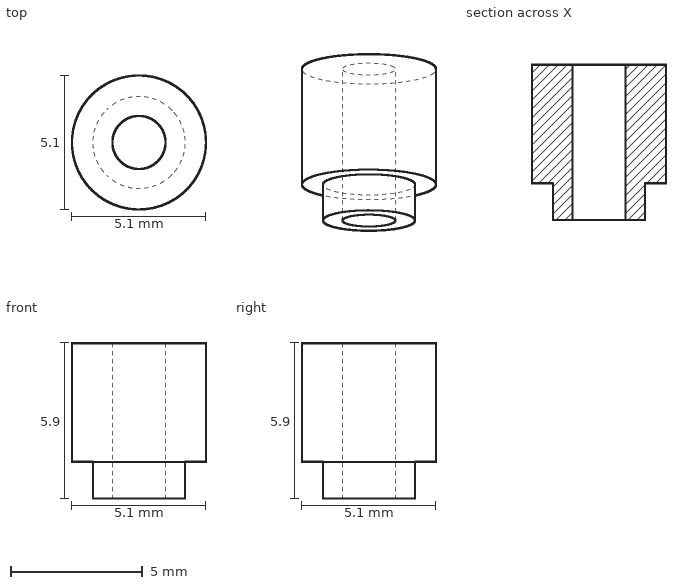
import cadquery as cq

body_diameter = 5.1
spigot_diameter = 3.5
bore_diameter = 2.01
total_height = 5.9
spigot_height = 1.4
body_height = total_height - spigot_height

spigot = cq.Workplane("XY").circle(spigot_diameter / 2).extrude(spigot_height)

body = (
    cq.Workplane("XY")
    .workplane(offset=spigot_height)
    .circle(body_diameter / 2)
    .extrude(body_height)
)

bore = cq.Workplane("XY").circle(bore_diameter / 2).extrude(total_height)

result = spigot.union(body).cut(bore)